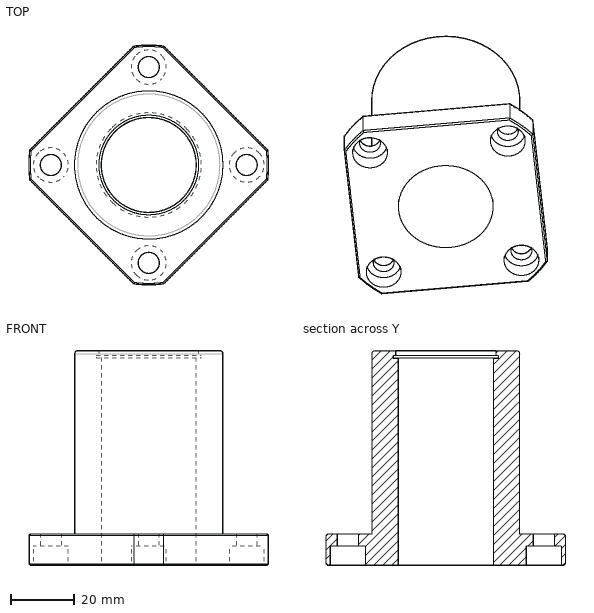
import cadquery as cq
import math

total_height = 68.0
bore_diameter = 30.0

sleeve_diameter = 47.0
sleeve_rim_fillet = 1.0

flange_thickness = 10.0
flange_square = 60.0
flange_trim_diameter = 76.0
flange_edge_chamfer = 0.5

bolt_count = 4
bolt_circle_diameter = 62.0
bolt_hole_diameter = 6.6
counterbore_diameter = 11.0
counterbore_depth = 6.1

recess_diameter = 31.6
recess_depth = 2.4
groove_diameter = 33.2
groove_width = 0.8


def disc(diameter, bottom, top):
    """Cylinder on the part axis between two heights."""
    return cq.Workplane("XY").workplane(offset=bottom).circle(diameter / 2).extrude(top - bottom)


def make_flange():
    square = (
        cq.Workplane("XY")
        .rect(flange_square, flange_square)
        .extrude(flange_thickness)
        .rotate((0, 0, 0), (0, 0, 1), 45)
    )
    trimmed = square.intersect(disc(flange_trim_diameter, 0, flange_thickness))
    return trimmed.faces("<Z or >Z").edges().chamfer(flange_edge_chamfer)


def make_sleeve():
    sleeve = disc(sleeve_diameter, 0, total_height)
    return sleeve.faces(">Z").edges().fillet(sleeve_rim_fillet)


def cut_bore(body):
    """Through bore with the stepped, grooved recess at its upper end."""
    recess_floor = total_height - recess_depth
    body = body.cut(disc(bore_diameter, 0, total_height))
    body = body.cut(disc(recess_diameter, recess_floor, total_height))
    return body.cut(disc(groove_diameter, recess_floor, recess_floor + groove_width))


def cut_mounting_holes(body):
    for index in range(bolt_count):
        angle = index * 2 * math.pi / bolt_count
        x = bolt_circle_diameter / 2 * math.cos(angle)
        y = bolt_circle_diameter / 2 * math.sin(angle)
        hole = disc(bolt_hole_diameter, 0, flange_thickness)
        counterbore = disc(counterbore_diameter, 0, counterbore_depth)
        body = body.cut(hole.union(counterbore).translate((x, y, 0)))
    return body


result = cut_mounting_holes(cut_bore(make_flange().union(make_sleeve())))